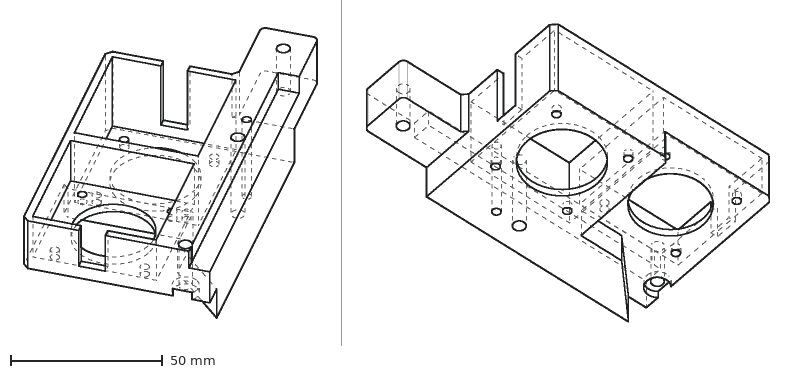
import cadquery as cq

WIDTH = 64.7
LENGTH = 122.0
HEIGHT = 32.0

BODY_LENGTH = 95.0
BODY_BOTTOM = 12.1
TAB_BOTTOM = 14.0
TAB_LEFT = 45.0
CORNER = 2.0

BLOCK_FRONT = 44.9
BLOCK_STEP_X = TAB_LEFT
BLOCK_DIAGONAL_RUN = WIDTH - BLOCK_STEP_X
BLOCK_SIDE_FRONT = 7.7

POCKET = 42.6
POCKET_X = 24.0
FRONT_POCKET_Y = 24.0
REAR_POCKET_Y = 71.0
FLOOR = 3.0
FRONT_BORE = 28.0
REAR_BORE = 30.0
SCREW_SPACING = 31.0
SCREW_HOLE = 3.0

SLOT_WIDTH = 9.2
FRONT_SLOT_BOTTOM = 17.1
REAR_SLOT_BOTTOM = 7.3

STEP_WIDTH = 7.2
STEP_LENGTH = 100.3
STEP_DEPTH = 7.0

MOUNT_HOLE = 4.5
MOUNT_X = 55.3
FRONT_MOUNT_Y = 3.2
REAR_MOUNT_Y = 113.1
MIDDLE_X = 54.9
MIDDLE_MOUNT_Y = 63.2
PILOT_Y = 73.1
COUNTERBORE = 9.0
COUNTERBORE_DEPTH = 2.9


def box(x_min, x_max, y_min, y_max, z_min, z_max):
    """Box given by its limits along each axis."""
    size = (x_max - x_min, y_max - y_min, z_max - z_min)
    return cq.Workplane().box(*size, centered=False).translate((x_min, y_min, z_min))


def cylinder(diameter, x, y, z_min, z_max):
    """Vertical cylinder between two heights."""
    return cq.Workplane().center(x, y).circle(diameter / 2).extrude(z_max - z_min).translate((0, 0, z_min))


def make_body():
    """Upper body with two chamfered left corners."""
    body = box(0, WIDTH, 0, BODY_LENGTH, BODY_BOTTOM, HEIGHT)
    return body.edges("|Z and <X").chamfer(CORNER)


def make_tab():
    """Rear tab with rounded ends and a chamfer filling the corner where it meets the body."""
    tab = box(TAB_LEFT, WIDTH, BODY_LENGTH, LENGTH, TAB_BOTTOM, HEIGHT)
    tab = tab.edges("|Z and >Y").fillet(CORNER)
    gusset = (
        cq.Workplane()
        .polyline([
            (TAB_LEFT - CORNER, BODY_LENGTH),
            (TAB_LEFT, BODY_LENGTH),
            (TAB_LEFT, BODY_LENGTH + CORNER),
        ])
        .close()
        .extrude(HEIGHT - TAB_BOTTOM)
        .translate((0, 0, TAB_BOTTOM))
    )
    return tab.union(gusset)


def make_lower_block():
    """Block around the rear pocket, with a diagonal brace running forward to the right edge."""
    outline = [
        (0, BLOCK_FRONT + CORNER),
        (CORNER, BLOCK_FRONT),
        (BLOCK_STEP_X, BLOCK_FRONT),
        (BLOCK_STEP_X, BLOCK_SIDE_FRONT + BLOCK_DIAGONAL_RUN),
        (WIDTH, BLOCK_SIDE_FRONT),
        (WIDTH, BODY_LENGTH),
        (CORNER, BODY_LENGTH),
        (0, BODY_LENGTH - CORNER),
    ]
    return cq.Workplane().polyline(outline).close().extrude(BODY_BOTTOM)


def pocket_cutter(y, bottom, bore):
    """Square pocket with a central bore and four screw holes through its floor."""
    floor_top = bottom + FLOOR
    half = POCKET / 2
    cutter = box(POCKET_X - half, POCKET_X + half, y - half, y + half, floor_top, HEIGHT)
    cutter = cutter.union(cylinder(bore, POCKET_X, y, bottom, floor_top))
    for dx in (-SCREW_SPACING / 2, SCREW_SPACING / 2):
        for dy in (-SCREW_SPACING / 2, SCREW_SPACING / 2):
            cutter = cutter.union(cylinder(SCREW_HOLE, POCKET_X + dx, y + dy, bottom, floor_top))
    return cutter


def slot_cutter(y_min, y_max, bottom):
    """Open-topped slot through an end wall, stopping above the pocket floor."""
    half = SLOT_WIDTH / 2
    return box(POCKET_X - half, POCKET_X + half, y_min, y_max, bottom, HEIGHT)


result = make_body().union(make_lower_block()).union(make_tab())

result = result.cut(pocket_cutter(FRONT_POCKET_Y, BODY_BOTTOM, FRONT_BORE))
result = result.cut(pocket_cutter(REAR_POCKET_Y, 0, REAR_BORE))
result = result.cut(slot_cutter(0, FRONT_POCKET_Y, FRONT_SLOT_BOTTOM))
result = result.cut(slot_cutter(REAR_POCKET_Y, BODY_LENGTH, REAR_SLOT_BOTTOM))

result = result.cut(box(WIDTH - STEP_WIDTH, WIDTH, 0, STEP_LENGTH, HEIGHT - STEP_DEPTH, HEIGHT))

for diameter, x, y in (
    (MOUNT_HOLE, MOUNT_X, FRONT_MOUNT_Y),
    (MOUNT_HOLE, MIDDLE_X, MIDDLE_MOUNT_Y),
    (SCREW_HOLE, MIDDLE_X, PILOT_Y),
    (MOUNT_HOLE, MOUNT_X, REAR_MOUNT_Y),
):
    result = result.cut(cylinder(diameter, x, y, 0, HEIGHT))

result = result.cut(
    cylinder(COUNTERBORE, MOUNT_X, FRONT_MOUNT_Y, BODY_BOTTOM, BODY_BOTTOM + COUNTERBORE_DEPTH)
)